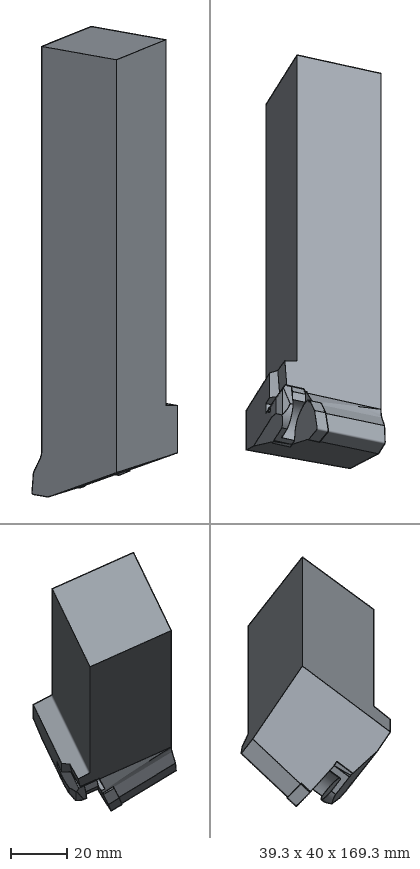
import cadquery as cq
import math

TOTAL_LENGTH = 169.3
SHANK_SIDE = 32.0
HEAD_DEPTH = 39.5
HEAD_SHOULDER = 33.9
HEAD_BACK_TOP = 32.2
SHOULDER_RADIUS = 0.8

LEAN = (-0.105, 1.0, -0.095)
FLANK_TOP = (0.0, 19.8)
FLANK_ARC_MIDDLE = (-0.2, 18.1)
FLANK_ARC_END = (-0.76, 16.5)
FLANK_KINK = (-3.5, 11.0)
NOSE = (-4.2, 2.9)
SOLE_KINK = (2.7, 2.9)
SOLE_END = (40.6, 20.5)
NOSE_RADIUS = 0.7
FLARE_TOP = 20.7
FLARE_REACH = 8.5
FLARE_DROP = 15.2

RAKE_OFFSET = 27.8
INSERT_THICKNESS = 4.5
INSERT_OVERHANG = 0.25
INSERT_INNER_TOP = (-1.0, 16.8)
INSERT_INNER_SIDE = (9.3, 14.4)

POCKET_RIGHT = 11.9
POCKET_TOP = 21.3
POCKET_LEFT = -13.5
POCKET_BOTTOM = -13.5
RELIEF_GROOVE_BOTTOM = 15.5
RELIEF_GROOVE_DEPTH = 1.5

SLOT_FLOOR = 36.2
SLOT_WIDTH = 6.3
SLOT_MOUTH = 8.0
SLOT_FLOOR_DROP = 0.8

CLAMP_TIP_Z = 5.8
CLAMP_LEFT = -2.4
CLAMP_LEFT_TOP = -0.3
CLAMP_RIGHT = 13.5
CLAMP_TOP = 22.0
CLAMP_SHOULDER_Z = 12.5
CLAMP_NOSE_MIDDLE = (-0.5, 8.5)
CLAMP_NOSE_END = (3.7, CLAMP_TIP_Z)
CLAMP_SEAT = 29.5
FINGER_BOTTOM = 34.4
FOOT_LEFT = -1.7
FOOT_SHOULDER_Z = 18.6
SCOOP_TOP = 15.0
SCOOP_RADIUS = SCOOP_TOP - CLAMP_TIP_Z
SCOOP_OFFSET = 1.7
BEVEL_START = 35.5
BEVEL_POINTS = [(-0.5, 37.8), (2.5, 39.1)]
BEVEL_END = 6.0
CREST_Z = 17.0
CREST_FALL = 2.9
SCREW_CENTER = (7.8, 15.5)
SCREW_RADIUS = 0.8
SCREW_TOP = 40.0

RELIEF_START = 36.4
RELIEF_TOP = 11.2


def lean_prism(outline, depth):
    """Sweep a closed outline of the front plane along the lean direction."""
    wire = outline.wires().val()
    return cq.Workplane(cq.Solid.extrudeLinear(wire, [], cq.Vector(*LEAN) * depth))


def slab(y_start, y_end, outline):
    """Extrude an XZ outline between two Y positions."""
    return outline.extrude(-(y_end - y_start)).translate((0, y_start, 0))


def full_width(points):
    """Extrude a YZ outline across the whole part."""
    prism = cq.Workplane("YZ").polyline(points).close().extrude(2 * SHANK_SIDE)
    return prism.translate((-SHANK_SIDE, 0, 0))


def front():
    """Sketch plane on the front face."""
    return cq.Workplane("XZ")


def beyond_plane(y_offset):
    """Everything behind the plane square to LEAN that crosses the Y axis at y_offset."""
    plane = cq.Plane(origin=(0, y_offset, 0), xDir=(0, 0, 1), normal=LEAN)
    return cq.Workplane(plane).rect(2 * TOTAL_LENGTH, 2 * TOTAL_LENGTH).extrude(TOTAL_LENGTH)


def rounded_nose(solid):
    """Round the long leaning edge at the nose corner."""
    x, z = NOSE
    corner = cq.selectors.BoxSelector(
        (x - SHANK_SIDE, 0, z - SHANK_SIDE), (x, 2 * HEAD_DEPTH, z)
    )
    leaning = cq.selectors.ParallelDirSelector(cq.Vector(*LEAN))
    return solid.edges(corner).edges(leaning).fillet(NOSE_RADIUS)


def side_profile():
    """Shank and head as seen along X, extruded over the full width."""
    profile = full_width([
        (0, -SHANK_SIDE), (0, TOTAL_LENGTH), (SHANK_SIDE, TOTAL_LENGTH),
        (SHANK_SIDE, HEAD_SHOULDER), (HEAD_DEPTH, HEAD_BACK_TOP), (HEAD_DEPTH, -SHANK_SIDE),
    ])
    shoulder = cq.selectors.NearestToPointSelector((0, SHANK_SIDE, HEAD_SHOULDER))
    return profile.edges("|X").edges(shoulder).fillet(SHOULDER_RADIUS)


def head_and_shank():
    """Leaning head outline, trimmed by the shank and the left flare."""
    leaning = lean_prism(
        front()
        .moveTo(FLANK_TOP[0], 2 * TOTAL_LENGTH)
        .lineTo(*FLANK_TOP)
        .threePointArc(FLANK_ARC_MIDDLE, FLANK_ARC_END)
        .lineTo(*FLANK_KINK)
        .lineTo(*NOSE)
        .lineTo(*SOLE_KINK)
        .lineTo(*SOLE_END)
        .lineTo(SOLE_END[0], 2 * TOTAL_LENGTH)
        .close(),
        2 * HEAD_DEPTH,
    )
    leaning = rounded_nose(leaning)
    envelope = slab(
        0,
        HEAD_DEPTH,
        front()
        .polyline([
            (0, TOTAL_LENGTH), (0, FLARE_TOP), (-FLARE_REACH, FLARE_TOP - FLARE_DROP),
            (-FLARE_REACH, -FLARE_DROP), (SHANK_SIDE, -FLARE_DROP), (SHANK_SIDE, TOTAL_LENGTH),
        ])
        .close(),
    )
    return leaning.intersect(envelope).intersect(side_profile())


def insert():
    """Flat plate between the seat and the rake plane."""
    outline = (
        front()
        .polyline([INSERT_INNER_TOP, FLANK_KINK, NOSE, SOLE_KINK, INSERT_INNER_SIDE])
        .close()
        .offset2D(INSERT_OVERHANG, "intersection")
    )
    prism = rounded_nose(lean_prism(outline, HEAD_DEPTH))
    layer = beyond_plane(RAKE_OFFSET - INSERT_THICKNESS).cut(beyond_plane(RAKE_OFFSET))
    return prism.intersect(layer)


def pocket():
    """Clear the rake face, and a little deeper above the insert."""

    def column(bottom):
        height = POCKET_TOP - bottom
        return slab(
            0,
            2 * HEAD_DEPTH,
            front()
            .center((POCKET_LEFT + POCKET_RIGHT) / 2, bottom + height / 2)
            .rect(POCKET_RIGHT - POCKET_LEFT, height),
        )

    over_insert = column(POCKET_BOTTOM).intersect(beyond_plane(RAKE_OFFSET))
    above_insert = column(RELIEF_GROOVE_BOTTOM).intersect(beyond_plane(RAKE_OFFSET - RELIEF_GROOVE_DEPTH))
    return over_insert.union(above_insert)


def clamp_slot():
    """Groove whose floor slopes down towards the tip."""

    def section(z, floor):
        return cq.Wire.makePolygon(
            [
                cq.Vector(-SLOT_MOUTH, floor, z),
                cq.Vector(SLOT_WIDTH, floor + SLOT_FLOOR_DROP, z),
                cq.Vector(SLOT_MOUTH, HEAD_DEPTH, z),
                cq.Vector(SLOT_MOUTH, 2 * HEAD_DEPTH, z),
                cq.Vector(-SLOT_MOUTH, 2 * HEAD_DEPTH, z),
            ],
            close=True,
        )

    upper = section(HEAD_SHOULDER, SLOT_FLOOR)
    lower = section(POCKET_TOP, SLOT_FLOOR - SLOT_FLOOR_DROP)
    return cq.Workplane(cq.Solid.makeLoft([lower, upper], True))


def clamp():
    """Finger, foot and the small screw that stands proud of the back."""
    finger_outline = (
        front()
        .moveTo(CLAMP_LEFT_TOP, CLAMP_TOP)
        .lineTo(CLAMP_LEFT, CLAMP_SHOULDER_Z)
        .threePointArc(CLAMP_NOSE_MIDDLE, CLAMP_NOSE_END)
        .lineTo(CLAMP_RIGHT, CLAMP_TIP_Z)
        .lineTo(CLAMP_RIGHT, CLAMP_TOP)
        .close()
    )
    finger = slab(FINGER_BOTTOM, HEAD_DEPTH, finger_outline)

    scoop_middle = SCOOP_RADIUS * math.sqrt(0.5)
    scoop_x = FOOT_LEFT + SCOOP_OFFSET
    foot_outline = (
        front()
        .moveTo(CLAMP_LEFT_TOP, CLAMP_TOP)
        .lineTo(FOOT_LEFT, FOOT_SHOULDER_Z)
        .lineTo(FOOT_LEFT, SCOOP_TOP)
        .lineTo(scoop_x, SCOOP_TOP)
        .threePointArc(
            (scoop_x + scoop_middle, CLAMP_TIP_Z + scoop_middle),
            (scoop_x + SCOOP_RADIUS, CLAMP_TIP_Z),
        )
        .lineTo(CLAMP_RIGHT, CLAMP_TIP_Z)
        .lineTo(CLAMP_RIGHT, CLAMP_TOP)
        .close()
    )
    foot = slab(CLAMP_SEAT, FINGER_BOTTOM, foot_outline)

    bevelled = (
        cq.Workplane("XY")
        .polyline([
            (CLAMP_LEFT, CLAMP_SEAT), (CLAMP_LEFT, BEVEL_START), *BEVEL_POINTS,
            (BEVEL_END, HEAD_DEPTH), (CLAMP_RIGHT, HEAD_DEPTH), (CLAMP_RIGHT, CLAMP_SEAT),
        ])
        .close()
        .extrude(TOTAL_LENGTH)
    )
    center_x, center_z = SCREW_CENTER
    screw = slab(FINGER_BOTTOM, SCREW_TOP, front().center(center_x, center_z).circle(SCREW_RADIUS))
    crest_fall = full_width([
        (HEAD_DEPTH, CREST_Z), (HEAD_DEPTH, CLAMP_TOP), (HEAD_DEPTH - CREST_FALL, CLAMP_TOP),
    ])
    return finger.union(foot).intersect(bevelled).cut(crest_fall).union(screw)


def tip_relief():
    """Bevel across the back of the clamp tip and the head beside it."""
    return full_width([
        (RELIEF_START, CLAMP_TIP_Z), (HEAD_DEPTH, RELIEF_TOP),
        (2 * HEAD_DEPTH, RELIEF_TOP), (2 * HEAD_DEPTH, -RELIEF_TOP), (RELIEF_START, -RELIEF_TOP),
    ])


body = head_and_shank().cut(pocket()).cut(clamp_slot())
result = body.union(clamp()).cut(tip_relief()).union(insert())